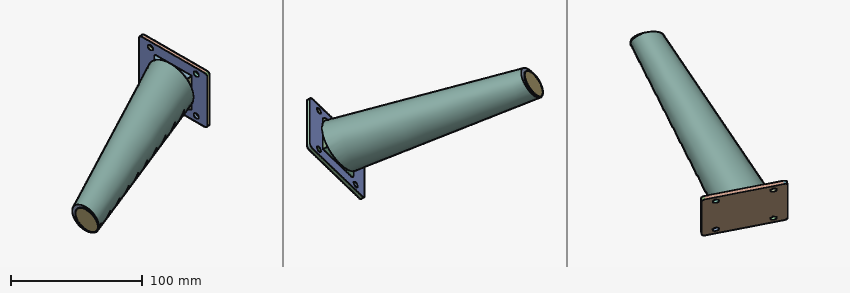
import cadquery as cq
import math

TILT = 15.0

PLATE_LENGTH = 67.1
PLATE_HEIGHT = 58.0
PLATE_THICKNESS = 3.0
PLATE_CORNER_RADIUS = 3.0
PLATE_SHIFT = 1.5
HOLE_SPACING = 45.0
HOLE_DIAMETER = 5.0

BOSS_SIDE = 36.0
BOSS_HEIGHT = 3.0
BOSS_SHIFT = 0.9
BOSS_EDGE_RADIUS = 2.8

LEG_LENGTH = 158.5
BASE_RADIUS = 21.8
TIP_RADIUS = 12.7
PAD_DIAMETER = 22.3
PAD_THICKNESS = 0.9
PAD_SHIFT = 1.5

cosine = math.cos(math.radians(TILT))
sine = math.sin(math.radians(TILT))
base_y = -(PLATE_THICKNESS + BOSS_HEIGHT) / cosine
tip_y = base_y - LEG_LENGTH
taper = (BASE_RADIUS - TIP_RADIUS) / LEG_LENGTH


def slanted_plane(axis_y):
    """Plane crossing the leg axis at axis_y; local x runs along the slant, normal points to the tip."""
    return cq.Workplane(cq.Plane(origin=(0, axis_y, 0), xDir=(cosine, -sine, 0), normal=(-sine, -cosine, 0)))


def make_bracket():
    """Plate with four screw holes and a rounded square boss."""
    plate = (
        slanted_plane(0)
        .center(PLATE_SHIFT, 0)
        .rect(PLATE_LENGTH, PLATE_HEIGHT)
        .extrude(PLATE_THICKNESS)
        .edges("|(%f, %f, 0)" % (sine, cosine))
        .fillet(PLATE_CORNER_RADIUS)
    )
    holes = (
        slanted_plane(0)
        .center(PLATE_SHIFT, 0)
        .rect(HOLE_SPACING, HOLE_SPACING, forConstruction=True)
        .vertices()
        .circle(HOLE_DIAMETER / 2)
        .extrude(PLATE_THICKNESS)
    )
    boss = (
        slanted_plane(-PLATE_THICKNESS / cosine)
        .center(BOSS_SHIFT, 0)
        .rect(BOSS_SIDE, BOSS_SIDE)
        .extrude(BOSS_HEIGHT)
        .faces("<(%f, %f, 0)" % (sine, cosine))
        .edges()
        .fillet(BOSS_EDGE_RADIUS)
    )
    return plate.cut(holes).union(boss)


def make_leg():
    """Cone trimmed by two parallel slanted planes, with a thin round pad on the tip."""
    overrun = BASE_RADIUS
    back_y = base_y + overrun
    front_y = tip_y - overrun
    back_radius = BASE_RADIUS + taper * overrun
    front_radius = TIP_RADIUS - taper * overrun
    cone = (
        cq.Workplane("XY")
        .moveTo(0, back_y)
        .lineTo(back_radius, back_y)
        .lineTo(front_radius, front_y)
        .lineTo(0, front_y)
        .close()
        .revolve(360, (0, 0, 0), (0, 1, 0))
    )
    slice_side = LEG_LENGTH
    slanted_slice = slanted_plane(base_y).rect(slice_side, slice_side).extrude(LEG_LENGTH * cosine)
    pad = slanted_plane(tip_y).center(PAD_SHIFT, 0).circle(PAD_DIAMETER / 2).extrude(PAD_THICKNESS)
    return cone.intersect(slanted_slice).union(pad)


bracket = make_bracket()
leg = make_leg()

result = cq.Compound.makeCompound([bracket.val(), leg.val()])